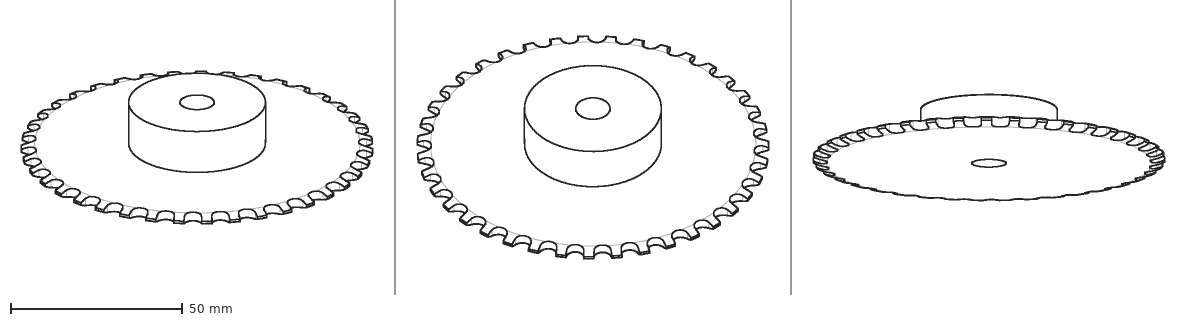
import cadquery as cq
import math

tooth_count = 39
chain_pitch = 8.0
roller_diameter = 5.0
tip_radius = 51.35
plate_thickness = 2.8

flank_start_radius = 47.5
tip_land_width = 0.8

hub_diameter = 40.0
overall_height = 16.0
bore_diameter = 10.0

tooth_angle = 360.0 / tooth_count
half_tooth_angle = math.radians(tooth_angle / 2)
pitch_radius = chain_pitch / (2 * math.sin(half_tooth_angle))
roller_radius = roller_diameter / 2
root_radius = pitch_radius - roller_radius

gap_overrun = 1.0
gap_end_radius = tip_radius + gap_overrun


def make_blank():
    """Revolve the disc whose rim narrows along tangent arcs to a thin land at the tips."""
    relief = (plate_thickness - tip_land_width) / 2
    depth = tip_radius - flank_start_radius
    flank_radius = (depth**2 + relief**2) / (2 * relief)
    half_sweep = math.asin(depth / flank_radius) / 2
    mid_radius = flank_start_radius + flank_radius * math.sin(half_sweep)
    mid_drop = flank_radius * (1 - math.cos(half_sweep))
    return (
        cq.Workplane("XZ")
        .moveTo(0, 0)
        .lineTo(flank_start_radius, 0)
        .threePointArc((mid_radius, mid_drop), (tip_radius, relief))
        .lineTo(tip_radius, plate_thickness - relief)
        .threePointArc((mid_radius, plate_thickness - mid_drop), (flank_start_radius, plate_thickness))
        .lineTo(0, plate_thickness)
        .close()
        .revolve(360, (0, 0, 0), (0, 1, 0))
    )


def make_gap():
    """One roller seat on the +X axis, with sides parallel to the axes of the neighbouring teeth."""
    tangent_x = pitch_radius - roller_radius * math.sin(half_tooth_angle)
    tangent_y = roller_radius * math.cos(half_tooth_angle)
    end_y = tangent_y + (gap_end_radius - tangent_x) * math.tan(half_tooth_angle)
    return (
        cq.Workplane("XY")
        .moveTo(gap_end_radius, -end_y)
        .lineTo(tangent_x, -tangent_y)
        .threePointArc((root_radius, 0), (tangent_x, tangent_y))
        .lineTo(gap_end_radius, end_y)
        .close()
        .extrude(plate_thickness)
        .val()
    )


def cut_gaps(blank):
    """Cut all roller seats, leaving one tooth centred on +Y."""
    gap = make_gap()
    first_gap_angle = 90 + tooth_angle / 2
    gaps = [
        gap.rotate((0, 0, 0), (0, 0, 1), first_gap_angle + index * tooth_angle)
        for index in range(tooth_count)
    ]
    return blank.cut(cq.Workplane("XY").newObject([cq.Compound.makeCompound(gaps)]))


def add_hub(sprocket):
    """Raise the hub above the plate and drill the bore through everything."""
    hub = cq.Workplane("XY").circle(hub_diameter / 2).extrude(overall_height)
    bore = cq.Workplane("XY").circle(bore_diameter / 2).extrude(overall_height)
    return sprocket.union(hub).cut(bore)


result = add_hub(cut_gaps(make_blank()))